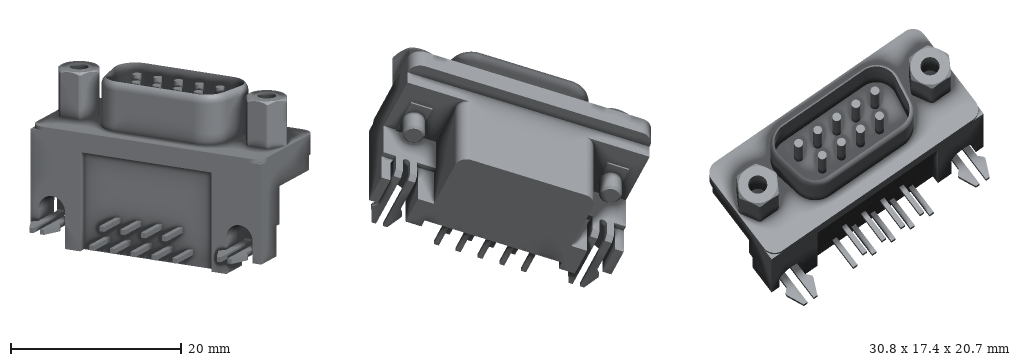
import cadquery as cq
import math


overlap = 0.3

length = 30.8
flange_depth = 13.55
flange_top = 14.6
plate_thickness = 0.5
flange_corner = 1.6
lip_thickness = 2.53
body_depth = 11.9
body_bottom = 10.25
axis_y = flange_depth / 2

insulator_width = 17.5
insulator_corner = 1.45
insulator_front = 1.02
panel_top = 12.2
wall_width = 21.5
wall_depth = 3.85
upper_leg_depth = 4.53
leg_step = 5.58
leg_bottom = 1.82

shell_top = 20.65
shell_width = 17.7
shell_depth = 9.1
shell_corner = 3.0
shell_slant = 10.0
shell_wall = 0.45
rim_height = 0.95
floor_z = 14.75

pin_pitch = 2.77
row_spacing = 2.83
pin_diameter = 1.05
pin_top = 20.1
tail_size = 0.62
tail_reach = 3.17
tail_spacing = 2.53
lower_tail_z = 1.73
rows = (
    (5, 1, lower_tail_z),
    (4, -1, lower_tail_z + tail_spacing),
)

screw_x = 12.5
nut_sides = 6
nut_flats = 4.75
nut_corners = 5.33
nut_top = 20.37
nut_chamfer_height = 0.3
nut_chamfer_width = 0.37
nut_hole = 2.25
nut_hole_depth = 4.93
drill_angle = 118.0
screw_diameter = 2.68
screw_end = 7.45
screw_chamfer = 0.28

arch_width = 2 * (screw_x - wall_width / 2)
arch_top = 6.25
bracket_width = 2.7
bracket_back = 9.25
bracket_seat = 10.05
prong_thickness = 0.62
prong_bottom = 2.65
prong_slot = 0.92
bend_chamfer = 0.62
inner_bend = 0.2
slot_top = 5.55
barb_start = 0.85
barb_peak = 1.55
barb_width = 4.0
barb_rounding = 0.37
prong_tip_width = 1.97
prong_reach = 3.82


def box(x_range, y_range, z_range):
    """Box between the given limits along each axis."""
    (x0, x1), (y0, y1), (z0, z1) = x_range, y_range, z_range
    return cq.Workplane("XY").box(x1 - x0, y1 - y0, z1 - z0, centered=False).translate((x0, y0, z0))


def centered_box(width, y_range, z_range):
    """Box that is symmetric about x = 0."""
    return box((-width / 2, width / 2), y_range, z_range)


def cylinder(x, y, diameter, z0, z1):
    """Upright cylinder from z0 to z1."""
    return cq.Workplane("XY", origin=(x, y, z0)).circle(diameter / 2).extrude(z1 - z0)


def make_housing():
    """Rounded flange over the square-cornered body, with a thicker lip at the back."""
    plate_bottom = flange_top - plate_thickness
    lip = (
        centered_box(length, (0, flange_depth), (flange_top - lip_thickness, flange_top))
        .edges("|Z").fillet(flange_corner)
        .intersect(centered_box(length, (axis_y, flange_depth), (0, flange_top)))
    )
    plate = (
        centered_box(length, (0, flange_depth), (plate_bottom, flange_top))
        .edges("|Z").fillet(flange_corner)
    )
    body = centered_box(length, (0, body_depth), (body_bottom, plate_bottom))
    return body.union(plate).union(lip)


def make_walls():
    """Side walls that drop from the body beside the insulator."""
    upper = centered_box(length, (0, upper_leg_depth), (leg_step, body_bottom))
    lower = centered_box(length, (0, wall_depth), (leg_bottom, leg_step))
    foot = centered_box(wall_width, (0, wall_depth), (0, leg_bottom))
    return upper.union(lower).union(foot)


def make_insulator():
    """Central block with rounded back corners."""
    return (
        centered_box(insulator_width, (insulator_front, body_depth), (0, body_bottom))
        .edges("|Z and >Y").fillet(insulator_corner)
    )


def round_topped_cutter(x, width, top, y_range):
    """Opening with a half-round top, running from z = 0 along Y."""
    half = width / 2
    arc_center = top - half
    return (
        cq.Workplane("XZ", origin=(x, y_range[0], 0))
        .moveTo(-half, 0)
        .lineTo(-half, arc_center)
        .threePointArc((0, top), (half, arc_center))
        .lineTo(half, 0)
        .close()
        .extrude(y_range[0] - y_range[1])
    )


def shell_prism(inset, z0, z1):
    """Prism from z0 to z1 over the D outline, moved inward by the inset."""
    slant = math.radians(shell_slant)
    half_depth = shell_depth / 2 - shell_corner
    upper_half = shell_width / 2 - shell_corner
    lower_half = upper_half - 2 * half_depth * math.tan(slant)
    corner_centers = [
        (-upper_half, half_depth),
        (upper_half, half_depth),
        (lower_half, -half_depth),
        (-lower_half, -half_depth),
    ]
    return (
        cq.Workplane("XY", origin=(0, axis_y, z0))
        .polyline(corner_centers).close()
        .offset2D(shell_corner - inset)
        .extrude(z1 - z0)
    )


def add_shell(part):
    """D-shaped shell whose rounded rim runs into the straight cavity wall."""
    rim_radius = (rim_height ** 2 + shell_wall ** 2) / (2 * shell_wall)
    rim_start = shell_top - rim_height
    uncut_top = rim_start + rim_radius
    outer = shell_prism(0, flange_top - plate_thickness, uncut_top)
    outer = outer.faces(">Z").edges().fillet(rim_radius)
    cavity = shell_prism(shell_wall, floor_z, uncut_top)
    return part.union(outer).cut(cavity)


def add_contacts(part):
    """Round mating pins and square board tails, in two staggered rows."""
    half = tail_size / 2
    for count, side, tail_z in rows:
        for index in range(count):
            x = (index - (count - 1) / 2) * pin_pitch
            y = axis_y + side * row_spacing / 2
            tail = box(
                (x - half, x + half),
                (-tail_reach, insulator_front + overlap),
                (tail_z - half, tail_z + half),
            )
            pin = cylinder(x, y, pin_diameter, floor_z - overlap, pin_top)
            part = part.union(pin).union(tail)
    return part


def make_nut(x):
    """Hexagonal jack nut with trimmed corners and a chamfered top."""
    nut_corner_span = nut_flats / math.cos(math.pi / nut_sides)
    trim = cylinder(x, axis_y, nut_corners, flange_top, nut_top)
    trim = trim.faces(">Z").chamfer(nut_chamfer_height, nut_chamfer_width)
    return (
        cq.Workplane("XY", origin=(x, axis_y, flange_top))
        .polygon(nut_sides, nut_corner_span)
        .extrude(nut_top - flange_top)
        .intersect(trim)
    )


def nut_drill(x):
    """Blind hole with a conical end."""
    radius = nut_hole / 2
    cone = radius / math.tan(math.radians(drill_angle / 2))
    return (
        cq.Workplane("XZ", origin=(x, axis_y, nut_top))
        .polyline([(0, 0), (radius, 0), (radius, -nut_hole_depth), (0, -nut_hole_depth - cone)])
        .close()
        .revolve(360, (0, 0), (0, 1))
    )


def make_screw_end(x):
    """End of the jack screw below the body."""
    shank = cylinder(x, axis_y, screw_diameter, screw_end, body_bottom + overlap)
    return shank.faces("<Z").chamfer(screw_chamfer)


def make_bracket(x):
    """Bent sheet bracket with a forked, barbed board lock."""
    prong_top = prong_bottom + prong_thickness
    x_range = (x - bracket_width / 2, x + bracket_width / 2)
    seat = box(x_range, (wall_depth, bracket_back), (bracket_seat, body_bottom))
    upright = box(x_range, (wall_depth, upper_leg_depth), (prong_bottom, body_bottom))
    upright = upright.edges("|X and >Y and <Z").chamfer(bend_chamfer)
    inner_corner = (
        cq.Workplane("YZ", origin=(x_range[0], wall_depth, prong_top))
        .polyline([(0, 0), (-inner_bend, 0), (0, inner_bend)]).close()
        .extrude(bracket_width)
    )
    right_edge = [
        (bracket_width / 2, wall_depth),
        (bracket_width / 2, -barb_start),
        (barb_width / 2, -barb_peak),
        (prong_tip_width / 2, -prong_reach),
    ]
    left_edge = [(-px, py) for px, py in reversed(right_edge)]
    prongs = (
        cq.Workplane("XY", origin=(x, 0, prong_bottom))
        .polyline(right_edge + left_edge).close()
        .extrude(prong_thickness)
        .edges("|Z and (<X or >X)").fillet(barb_rounding)
    )
    slot = round_topped_cutter(x, prong_slot, slot_top, (-prong_reach, upper_leg_depth))
    return seat.union(upright).union(inner_corner).union(prongs).cut(slot)


result = make_housing().union(make_walls())
for screw_position in (-screw_x, screw_x):
    result = result.cut(round_topped_cutter(screw_position, arch_width, arch_top, (0, wall_depth)))
window = centered_box(insulator_width, (0, insulator_front), (0, panel_top))
result = result.union(make_insulator()).cut(window)
result = add_shell(result)
result = add_contacts(result)
for screw_position in (-screw_x, screw_x):
    result = result.union(make_bracket(screw_position))
    result = result.union(make_nut(screw_position)).union(make_screw_end(screw_position))
    result = result.cut(nut_drill(screw_position))